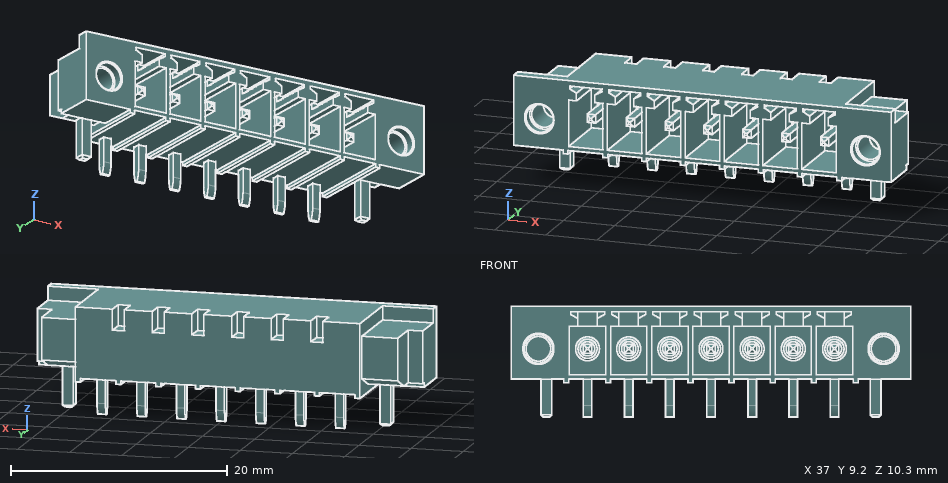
import cadquery as cq


CONTACT_COUNT = 7
PITCH = 3.8
AXIS_Z = 3.15

LENGTH = 36.95
DEPTH = 9.2
TOP_Z = 7.1
FLOOR_Z = 0.35
CORE_LENGTH = 27.28
FLANGE_THICKNESS = 1.22

WING_TOP_Z = TOP_Z - 1.33
WING_REAR_Y = DEPTH - 0.65
WING_LENGTH = 34.15
SHOULDER_REAR_Y = 4.88
WING_STEP_Y = 4.35
WING_UNDERSIDE_Z = 0.78
WING_SLOPE_Y = 6.35
WING_SLOPE_TOP_Z = 1.75

RIB_WIDTH = 0.48
NOTCH_WIDTH = 1.15
NOTCH_DEPTH = 2.0
NOTCH_HEIGHT = 2.0

CHAMBER_WIDTH = 3.35
CHAMBER_BOTTOM_Z = 0.75
CHAMBER_TOP_Z = 5.2
CHAMBER_DEPTH = 6.45
SLOT_DEPTH = 4.8
SLOT_WIDTH = 1.8
SLOT_HEAD_WIDTH = 3.15
SLOT_HEAD_DEPTH = 3.7
SLOT_TOP_Z = 6.58
SLOT_HEAD_EDGE = 0.25
SLOT_HEAD_DROP = 0.63

COLLAR_BASE_RADIUS = 1.1
COLLAR_MIDDLE_RADIUS = 0.9
COLLAR_TOP_RADIUS = 0.65
COLLAR_MIDDLE_HEIGHT = 0.22
COLLAR_HEIGHT = 0.35

HOLE_X = 15.95
HOLE_MOUTH_RADIUS = 1.45
HOLE_RADIUS = 1.33
HOLE_DEPTH = 1.15
BORE_RADIUS = 1.15
BORE_END_Y = 4.45

CONTACT_SIZE = 0.8
CONTACT_TIP_Y = 1.35
CONTACT_POINT_LENGTH = 0.25
CONTACT_POINT_SIZE = 0.22
TAIL_Y = 7.9
PIN_BOTTOM_Z = -3.18
TAIL_TAPER_LENGTH = 1.1
TAIL_TIP_SIZE = 0.3

PEG_SIZE = 1.05
PEG_X = (CONTACT_COUNT + 1) / 2 * PITCH
PEG_Y = 5.58
PEG_TOP_Z = WING_UNDERSIDE_Z + 0.9
PEG_CHAMFER = 0.22

contact_positions = [(i - (CONTACT_COUNT - 1) / 2) * PITCH for i in range(CONTACT_COUNT)]
notch_positions = [x + PITCH / 2 for x in contact_positions[:-1]]


def block(width, y_range, z_range, center_x=0.0):
    """Box centred on center_x that spans the given y and z ranges."""
    y0, y1 = y_range
    z0, z1 = z_range
    return cq.Workplane("XY").box(width, y1 - y0, z1 - z0, centered=(True, False, False)).translate(
        (center_x, y0, z0)
    )


def make_shell():
    """Flange plate, core and end wings without any openings."""
    flange = block(LENGTH, (0, FLANGE_THICKNESS), (FLOOR_Z, TOP_Z))
    core = block(CORE_LENGTH, (0, DEPTH), (FLOOR_Z, TOP_Z))
    shoulders = block(LENGTH, (0, WING_STEP_Y), (FLOOR_Z, WING_TOP_Z))
    shoulder_backs = block(LENGTH, (0, SHOULDER_REAR_Y), (WING_UNDERSIDE_Z, WING_TOP_Z))
    wings = (
        cq.Workplane("YZ")
        .moveTo(0, WING_TOP_Z)
        .lineTo(WING_REAR_Y, WING_TOP_Z)
        .lineTo(WING_REAR_Y, WING_SLOPE_TOP_Z)
        .lineTo(WING_SLOPE_Y, WING_UNDERSIDE_Z)
        .lineTo(0, WING_UNDERSIDE_Z)
        .close()
        .extrude(WING_LENGTH / 2, both=True)
    )
    return flange.union(core).union(shoulders).union(shoulder_backs).union(wings)


def standoff_ribs():
    """Ribs under the core: one between neighbouring contacts and one flush with each end."""
    end_rib_x = (CORE_LENGTH - RIB_WIDTH) / 2
    ribs = cq.Workplane("XY")
    for x in [-end_rib_x, *notch_positions, end_rib_x]:
        ribs = ribs.union(block(RIB_WIDTH, (0, DEPTH), (0, FLOOR_Z), x))
    return ribs


def rear_notch(x):
    """Notch in the upper rear edge, with a flat floor."""
    return block(NOTCH_WIDTH, (DEPTH - NOTCH_DEPTH, DEPTH), (TOP_Z - NOTCH_HEIGHT, TOP_Z), x)


def slot_head(x):
    """Wide upper part of a keyed slot, with undersides that slope down to the stem."""
    head_half = SLOT_HEAD_WIDTH / 2
    stem_half = SLOT_WIDTH / 2
    outline = [
        (-head_half, SLOT_TOP_Z),
        (head_half, SLOT_TOP_Z),
        (head_half, SLOT_TOP_Z - SLOT_HEAD_EDGE),
        (stem_half, SLOT_TOP_Z - SLOT_HEAD_DROP),
        (-stem_half, SLOT_TOP_Z - SLOT_HEAD_DROP),
        (-head_half, SLOT_TOP_Z - SLOT_HEAD_EDGE),
    ]
    head = cq.Workplane("XZ").polyline(outline).close().extrude(-SLOT_HEAD_DEPTH)
    return head.translate((x, 0, 0))


def chamber(x):
    """Plug chamber with its keyed slot, less the collar left standing on its end wall."""
    room = block(CHAMBER_WIDTH, (0, CHAMBER_DEPTH), (CHAMBER_BOTTOM_Z, CHAMBER_TOP_Z), x)
    stem = block(SLOT_WIDTH, (0, SLOT_DEPTH), (CHAMBER_TOP_Z, SLOT_TOP_Z), x)
    return room.union(stem).union(slot_head(x)).cut(collar(x))


def turned_about_y(x, profile):
    """Solid of revolution from (radius, y) points, on the horizontal axis at x and AXIS_Z."""
    turned = cq.Workplane("XY").polyline(profile).close().revolve(360, (0, 0, 0), (0, 1, 0))
    return turned.translate((x, 0, AXIS_Z))


def collar(x):
    return turned_about_y(
        x,
        [
            (0, CHAMBER_DEPTH),
            (COLLAR_BASE_RADIUS, CHAMBER_DEPTH),
            (COLLAR_MIDDLE_RADIUS, CHAMBER_DEPTH - COLLAR_MIDDLE_HEIGHT),
            (COLLAR_TOP_RADIUS, CHAMBER_DEPTH - COLLAR_HEIGHT),
            (0, CHAMBER_DEPTH - COLLAR_HEIGHT),
        ],
    )


def flange_hole(x):
    """Blind hole with a chamfered mouth and a narrower bore at its end."""
    mouth_depth = HOLE_MOUTH_RADIUS - HOLE_RADIUS
    return turned_about_y(
        x,
        [
            (0, 0),
            (HOLE_MOUTH_RADIUS, 0),
            (HOLE_RADIUS, mouth_depth),
            (HOLE_RADIUS, HOLE_DEPTH),
            (BORE_RADIUS, HOLE_DEPTH),
            (BORE_RADIUS, BORE_END_Y),
            (0, BORE_END_Y),
        ],
    )


def make_contact(x):
    """Square bent contact: a pointed blade toward the front and a rounded solder tail below."""
    half = CONTACT_SIZE / 2
    blade_start_y = CONTACT_TIP_Y + CONTACT_POINT_LENGTH
    blade = block(CONTACT_SIZE, (blade_start_y, TAIL_Y + half), (AXIS_Z - half, AXIS_Z + half))
    point = (
        cq.Workplane("XZ", origin=(0, blade_start_y, AXIS_Z))
        .rect(CONTACT_SIZE, CONTACT_SIZE)
        .workplane(offset=CONTACT_POINT_LENGTH)
        .rect(CONTACT_POINT_SIZE, CONTACT_POINT_SIZE)
        .loft(ruled=True)
    )
    taper_z = PIN_BOTTOM_Z + TAIL_TAPER_LENGTH
    tip_half = TAIL_TIP_SIZE / 2
    flank_radius = (TAIL_TAPER_LENGTH**2 + (half - tip_half) ** 2) / (2 * (half - tip_half))
    tail = (
        cq.Workplane("YZ")
        .moveTo(TAIL_Y - half, AXIS_Z)
        .lineTo(TAIL_Y - half, taper_z)
        .radiusArc((TAIL_Y - tip_half, PIN_BOTTOM_Z), -flank_radius)
        .lineTo(TAIL_Y + tip_half, PIN_BOTTOM_Z)
        .radiusArc((TAIL_Y + half, taper_z), -flank_radius)
        .lineTo(TAIL_Y + half, AXIS_Z)
        .close()
        .extrude(half, both=True)
    )
    return blade.union(point).union(tail).translate((x, 0, 0))


def make_peg(x):
    """Square mounting peg with a chamfered lower end, set into the wing from below."""
    peg = block(PEG_SIZE, (PEG_Y - PEG_SIZE / 2, PEG_Y + PEG_SIZE / 2), (PIN_BOTTOM_Z, PEG_TOP_Z), x)
    return peg.faces("<Z").chamfer(PEG_CHAMFER)


def make_housing(inserts):
    """Housing with its openings, and a matching seat for every contact and peg."""
    housing = make_shell().union(standoff_ribs())
    for x in notch_positions:
        housing = housing.cut(rear_notch(x))
    for x in contact_positions:
        housing = housing.cut(chamber(x))
    for x in (-HOLE_X, HOLE_X):
        housing = housing.cut(flange_hole(x))
    for insert in inserts:
        housing = housing.cut(insert)
    return housing


contacts = [make_contact(x) for x in contact_positions]
pegs = [make_peg(x) for x in (-PEG_X, PEG_X)]
housing = make_housing(contacts + pegs)

result = cq.Compound.makeCompound(
    [housing.val(), *[contact.val() for contact in contacts], *[peg.val() for peg in pegs]]
)